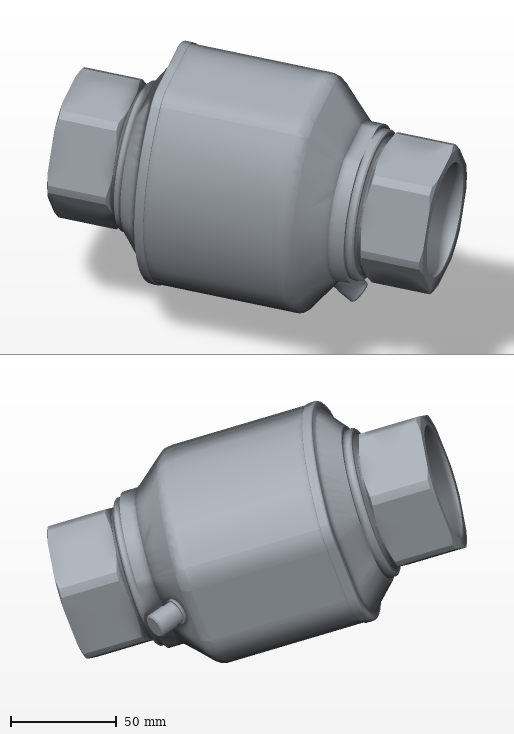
import cadquery as cq
import math

total_length = 186.3
mid_plane = total_length / 2

hex_across_flats = 65.0
hex_corner_radius = 36.3
connector_length = 32.6
neck_radius = 32.5
neck_across_flats = 64.0
neck_length = 1.1
back_chamfer_length = 1.7
back_radius = 32.8
face_radius = 33.9
face_chamfer_length = 1.1
bore_radius = 27.8
bore_depth = 25.5
throat_radius = 20.0
throat_start = 28.7

ring_radius = 36.5
ring_outer_chamfer = 0.7
ring_inner_chamfer = 1.1
ring_end = 37.8

cap_radius = 38.5
cap_half_height = 36.3
cap_corner_radius = 9.3

flange_start = 48.5
flange_end = 53.3
flange_half_width = 51.2
flange_half_height = 58.5
flange_side_radius = 71.0
flange_corner_radius = 16.8
flange_front_fillet = 1.1
flange_back_fillet = 0.4
hood_half_width = 48.0
hood_half_height = 52.0
hood_side_radius = 61.5
hood_corner_radius = 20.0
hood_fillet = 2.2

sleeve_half_width = 50.7
sleeve_half_height = 58.3
sleeve_side_radius = 70.5
sleeve_corner_radius = 16.2
sleeve_end = 116.8
shoulder_x = 124.2
shoulder_fillet = 6.5
collar_start = 140.6

plug_x = 132.6
plug_washer_radius = 6.5
plug_washer_height = 1.5
plug_stem_radius = 5.5
plug_stem_height = 4.1
plug_tip_radius = 6.0
plug_tip_height = 9.1
plug_tip_chamfer = 0.7


def outline(x, half_width, half_height, side_radius, corner_radius):
    """Closed outline across the flow axis: flat top and bottom, bowed sides, rounded corners."""
    side_center = half_width - side_radius
    corner_z = half_height - corner_radius
    corner_y = side_center + math.sqrt((side_radius - corner_radius) ** 2 - corner_z**2)
    side_angle = math.atan2(corner_z, corner_y - side_center)
    middle_angle = (side_angle + math.pi / 2) / 2
    tangent_y = side_center + side_radius * math.cos(side_angle)
    tangent_z = side_radius * math.sin(side_angle)
    bend_y = corner_y + corner_radius * math.cos(middle_angle)
    bend_z = corner_z + corner_radius * math.sin(middle_angle)
    return (
        cq.Workplane("YZ", origin=(x, 0, 0))
        .moveTo(-corner_y, half_height)
        .lineTo(corner_y, half_height)
        .threePointArc((bend_y, bend_z), (tangent_y, tangent_z))
        .threePointArc((half_width, 0), (tangent_y, -tangent_z))
        .threePointArc((bend_y, -bend_z), (corner_y, -half_height))
        .lineTo(-corner_y, -half_height)
        .threePointArc((-bend_y, -bend_z), (-tangent_y, -tangent_z))
        .threePointArc((-half_width, 0), (-tangent_y, tangent_z))
        .threePointArc((-bend_y, bend_z), (-corner_y, half_height))
        .close()
    )


def flange_outline(x):
    return outline(x, flange_half_width, flange_half_height, flange_side_radius, flange_corner_radius)


def hood_outline(x):
    return outline(x, hood_half_width, hood_half_height, hood_side_radius, hood_corner_radius)


def sleeve_outline(x):
    return outline(x, sleeve_half_width, sleeve_half_height, sleeve_side_radius, sleeve_corner_radius)


def collar_outline(x):
    return outline(x, cap_radius, cap_half_height, cap_radius, cap_corner_radius)


def taper(first, second):
    """Straight-sided transition between two outlines."""
    return cq.Workplane(cq.Solid.makeLoft([first.val(), second.val()], True))


def revolve_about_flow_axis(points):
    """Solid of revolution from (x, radius) points."""
    return cq.Workplane("XY").polyline(points).close().revolve(360, (0, 0, 0), (1, 0, 0))


def edges_at(x, half_width, half_height):
    """Selector for the edges in one plane across the flow axis, inside the given half sizes."""
    margin = 0.1
    return cq.selectors.BoxSelector(
        (x - margin, -half_width - margin, -half_height - margin),
        (x + margin, half_width + margin, half_height + margin),
        boundingbox=True,
    )


def hexagon_bar(across_flats, length):
    """Hexagonal bar along the flow axis, with flats at top and bottom."""
    corner_diameter = across_flats / math.cos(math.radians(30))
    return cq.Workplane("YZ").polygon(6, corner_diameter).extrude(length)


def make_connector():
    """Left connector: chamfered hexagon with a slimmer neck and a stepped bore."""
    hexagon_length = connector_length - neck_length
    envelope = revolve_about_flow_axis([
        (0, 0),
        (0, face_radius),
        (face_chamfer_length, hex_corner_radius),
        (hexagon_length - back_chamfer_length, hex_corner_radius),
        (hexagon_length, back_radius),
        (hexagon_length, 0),
    ])
    hexagon = hexagon_bar(hex_across_flats, hexagon_length).intersect(envelope)
    neck_cylinder = cq.Workplane("YZ").circle(neck_radius).extrude(connector_length)
    neck = hexagon_bar(neck_across_flats, connector_length).intersect(neck_cylinder)
    bore = revolve_about_flow_axis([
        (0, 0),
        (0, bore_radius),
        (bore_depth, bore_radius),
        (throat_start, throat_radius),
        (connector_length, throat_radius),
        (connector_length, 0),
    ])
    return hexagon.union(neck).cut(bore)


def make_ring():
    """Left ring: closed disc with a stepped, chamfered outer face."""
    face_x = connector_length + ring_inner_chamfer
    return revolve_about_flow_axis([
        (connector_length, 0),
        (connector_length, neck_radius),
        (face_x, neck_radius + ring_inner_chamfer),
        (face_x, ring_radius - ring_outer_chamfer),
        (face_x + ring_outer_chamfer, ring_radius),
        (ring_end, ring_radius),
        (ring_end, 0),
    ])


def make_flanged_cap():
    """Left end cap: tapered hood blended into a flange."""
    flange = flange_outline(flange_start).extrude(flange_end - flange_start)
    flange = flange.edges("<X").fillet(flange_front_fillet)
    flange = flange.edges(">X").fillet(flange_back_fillet)
    hood = taper(collar_outline(ring_end), hood_outline(flange_start))
    hood_edges = edges_at(flange_start, hood_half_width, hood_half_height)
    return flange.union(hood).edges(hood_edges).fillet(hood_fillet)


def make_sleeve():
    """Straight housing sleeve between the two end caps."""
    return sleeve_outline(flange_end).extrude(sleeve_end - flange_end)


def make_domed_cap():
    """Right end cap: short skirt, rounded shoulder, taper and collar."""
    skirt = sleeve_outline(sleeve_end).extrude(shoulder_x - sleeve_end)
    slope = taper(sleeve_outline(shoulder_x), collar_outline(collar_start))
    collar_end = total_length - ring_end
    collar = collar_outline(collar_start).extrude(collar_end - collar_start)
    shoulder_edges = edges_at(shoulder_x, sleeve_half_width, sleeve_half_height)
    dome = skirt.union(slope).edges(shoulder_edges).fillet(shoulder_fillet)
    return dome.union(collar)


def plug_plane(height):
    """Plane parallel to the lower flat of the domed cap's slope, at a height above it."""
    slope_drop = sleeve_half_height - cap_half_height
    slope_run = collar_start - shoulder_x
    slope_length = math.hypot(slope_drop, slope_run)
    normal_x = slope_drop / slope_length
    normal_z = -slope_run / slope_length
    base_z = -sleeve_half_height + (plug_x - shoulder_x) * slope_drop / slope_run
    origin = (plug_x + height * normal_x, 0, base_z + height * normal_z)
    return cq.Plane(origin=origin, xDir=(0, 1, 0), normal=(normal_x, 0, normal_z))


def make_plug_washer():
    return cq.Workplane(plug_plane(0)).circle(plug_washer_radius).extrude(plug_washer_height)


def make_plug_stem():
    return cq.Workplane(plug_plane(plug_washer_height)).circle(plug_stem_radius).extrude(plug_stem_height)


def make_plug_tip():
    base = plug_plane(plug_washer_height + plug_stem_height)
    tip = cq.Workplane(base).circle(plug_tip_radius).extrude(plug_tip_height)
    return tip.faces(">X").edges().chamfer(plug_tip_chamfer)


end_fittings = []
for fitting in (make_connector(), make_ring()):
    end_fittings.append(fitting.val())
    end_fittings.append(fitting.mirror("YZ", (mid_plane, 0, 0)).val())

flanged_cap = make_flanged_cap()
sleeve = make_sleeve()
domed_cap = make_domed_cap()
plug_washer = make_plug_washer()
plug_stem = make_plug_stem()
plug_tip = make_plug_tip()

result = cq.Compound.makeCompound([
    *end_fittings,
    flanged_cap.val(),
    sleeve.val(),
    domed_cap.val(),
    plug_washer.val(),
    plug_stem.val(),
    plug_tip.val(),
])